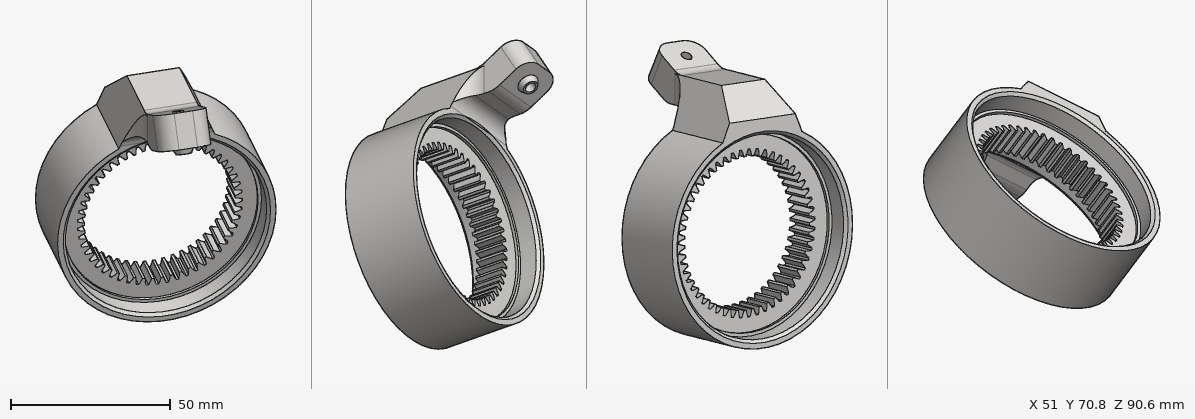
import cadquery as cq
import math

ring_radius = 35.4
ring_width = 26.0
bore_radius = 32.6
bore_depth = 7.0
bore_chamfer = 1.0
step_radius = 31.5
step_depth = 1.0

tooth_count = 51
pitch_radius = 25.6
tooth_tip_radius = 24.45
tooth_root_radius = 26.7
pressure_angle = math.radians(20)
base_radius = pitch_radius * math.cos(pressure_angle)

arm_top = 47.7
arm_thickness = 10.0
arm_bottom = arm_top - arm_thickness
arm_half_width = 8.5
arm_base_half_width = 15.6
arm_base_height = math.sqrt(ring_radius**2 - arm_base_half_width**2)
arm_nose_chamfer = 10.0
side_fillet = 8.0
underside_fillet = 5.0

tilt = math.radians(30)
tab_thickness = 11.5
tab_end = 51.0
tab_top = 55.2
tab_corner_radius = 5.5
bend_radius = 8.15
hole_diameter = 3.5
hole_setback = 7.1
boss_base_diameter = 6.9
boss_tip_diameter = 4.9
boss_height = 2.0

tab_top_corner = (tab_end - tab_thickness * math.sin(tilt), tab_top)
tab_bottom_corner = (tab_end, tab_top - tab_thickness * math.cos(tilt))
top_bend_x = tab_top_corner[0] - (tab_top - arm_top) / math.tan(tilt)
bottom_bend_x = tab_end - (tab_bottom_corner[1] - arm_bottom) / math.tan(tilt)


def disc(radius, start, length):
    """Solid cylinder along X."""
    return cq.Workplane("YZ").workplane(offset=start).circle(radius).extrude(length)


def gear_opening():
    """Through opening whose outline leaves the internal teeth standing."""

    def involute(angle):
        return math.tan(angle) - angle

    def half_gap_angle(radius):
        angle_here = math.acos(base_radius / radius)
        return math.pi / (2 * tooth_count) + involute(pressure_angle) - involute(angle_here)

    def point(radius, angle):
        return (radius * math.cos(angle), radius * math.sin(angle))

    pitch_angle = 2 * math.pi / tooth_count
    gap_at_tip = half_gap_angle(tooth_tip_radius)
    gap_at_pitch = half_gap_angle(pitch_radius)
    gap_at_root = half_gap_angle(tooth_root_radius)

    outline = cq.Workplane("YZ").moveTo(*point(tooth_tip_radius, -gap_at_tip))
    for i in range(tooth_count):
        gap = i * pitch_angle
        tooth = gap + pitch_angle / 2
        next_gap = gap + pitch_angle
        flank_in_end = point(tooth_root_radius, gap - gap_at_root)
        root_end = point(tooth_root_radius, gap + gap_at_root)
        flank_out_end = point(tooth_tip_radius, gap + gap_at_tip)
        tip_end = point(tooth_tip_radius, next_gap - gap_at_tip)
        outline = (
            outline
            .threePointArc(point(pitch_radius, gap - gap_at_pitch), flank_in_end)
            .threePointArc(point(tooth_root_radius, gap), root_end)
            .threePointArc(point(pitch_radius, gap + gap_at_pitch), flank_out_end)
            .threePointArc(point(tooth_tip_radius, tooth), tip_end)
        )
    return outline.close().extrude(ring_width)


def stepped_recess():
    """Chamfered recess with a shallow inner step, entered from the front face."""
    entrance = (
        cq.Workplane("YZ")
        .circle(bore_radius + bore_chamfer)
        .workplane(offset=bore_chamfer)
        .circle(bore_radius)
        .loft()
    )
    return (
        disc(bore_radius, 0, bore_depth)
        .union(entrance)
        .union(disc(step_radius, bore_depth, step_depth))
    )


def bore_cutter():
    """Everything removed from inside the ring; both faces have the same recess."""
    front_recess = stepped_recess()
    rear_recess = front_recess.mirror("YZ", (ring_width / 2, 0, 0))
    return gear_opening().union(front_recess).union(rear_recess)


def arm():
    """Arm and tab: side profile trimmed by its end-on and plan outlines."""
    side = (
        cq.Workplane("XZ")
        .moveTo(0, 0)
        .lineTo(0, arm_top - arm_nose_chamfer)
        .lineTo(arm_nose_chamfer, arm_top)
        .lineTo(top_bend_x, arm_top)
        .lineTo(*tab_top_corner)
        .lineTo(*tab_bottom_corner)
        .lineTo(bottom_bend_x, arm_bottom)
        .lineTo(ring_width, arm_bottom)
        .lineTo(ring_width, 0)
        .close()
        .extrude(ring_radius, both=True)
    )

    creases = [
        (top_bend_x, arm_top, bend_radius),
        (bottom_bend_x, arm_bottom, bend_radius),
        (ring_width, arm_bottom, underside_fillet),
    ]
    for x, z, radius in creases:
        side = side.edges(cq.selectors.NearestToPointSelector((x, 0, z))).fillet(radius)

    right_half = [
        (arm_half_width, tab_top),
        (arm_half_width, arm_top),
        (arm_base_half_width, arm_base_height),
        (arm_base_half_width, 0),
    ]
    left_half = [(-y, z) for y, z in reversed(right_half)]
    end_on = cq.Workplane("YZ").polyline(right_half + left_half).close().extrude(tab_end)

    flare_half_width = arm_half_width + side_fillet
    fillet_end = ring_width + side_fillet
    arc_offset = side_fillet * (1 - math.sqrt(0.5))
    plan = (
        cq.Workplane("XY")
        .moveTo(0, -flare_half_width)
        .lineTo(ring_width, -flare_half_width)
        .threePointArc(
            (ring_width + arc_offset, -arm_half_width - arc_offset), (fillet_end, -arm_half_width)
        )
        .lineTo(tab_end, -arm_half_width)
        .lineTo(tab_end, arm_half_width)
        .lineTo(fillet_end, arm_half_width)
        .threePointArc(
            (ring_width + arc_offset, arm_half_width + arc_offset), (ring_width, flare_half_width)
        )
        .lineTo(0, flare_half_width)
        .close()
        .extrude(tab_top)
    )
    return side.intersect(end_on).intersect(plan)


def round_tab_corners(body):
    """Round the two corner edges at the free end of the tab."""
    tab_middle_x = (tab_top_corner[0] + tab_bottom_corner[0]) / 2
    tab_middle_z = (tab_top_corner[1] + tab_bottom_corner[1]) / 2
    for y in (-arm_half_width, arm_half_width):
        corner = cq.selectors.NearestToPointSelector((tab_middle_x, y, tab_middle_z))
        body = body.edges(corner).fillet(tab_corner_radius)
    return body


def add_boss_and_hole(body):
    """Conical boss under the tab with a hole through it and the tab."""
    tab_axis = cq.Vector(math.cos(tilt), 0, math.sin(tilt))
    tab_down = cq.Vector(math.sin(tilt), 0, -math.cos(tilt))
    tab_end_bottom = cq.Vector(tab_bottom_corner[0], 0, tab_bottom_corner[1])
    underside = cq.Plane(origin=tab_end_bottom - tab_axis * hole_setback, xDir=tab_axis, normal=tab_down)
    boss = (
        cq.Workplane(underside)
        .circle(boss_base_diameter / 2)
        .workplane(offset=boss_height)
        .circle(boss_tip_diameter / 2)
        .loft()
    )
    hole = (
        cq.Workplane(underside)
        .workplane(offset=-tab_thickness)
        .circle(hole_diameter / 2)
        .extrude(tab_thickness + boss_height)
    )
    return body.union(boss).cut(hole)


ring_with_arm = disc(ring_radius, 0, ring_width).union(arm()).cut(bore_cutter())
result = add_boss_and_hole(round_tab_corners(ring_with_arm))